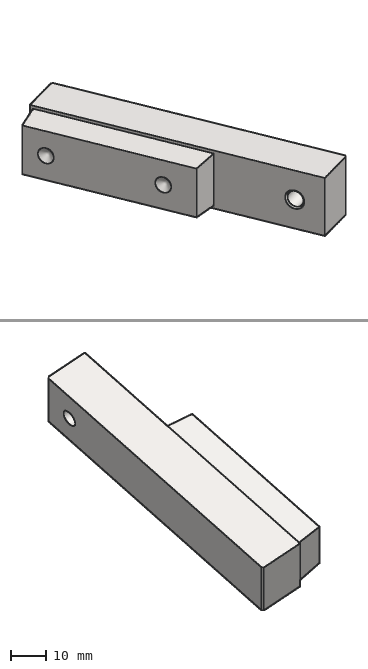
import cadquery as cq

bar_length = 93.0
bar_depth = 14.0
bar_height = 19.0
end_chamfer = 0.5

overall_depth = 23.0
block_depth = overall_depth - bar_depth
block_margin = 1.0
block_root_length = 57.0
block_root_height = bar_height - 2 * block_margin
end_draft = 1.0
side_draft = 0.5

hole_diameter = 5.0
hole_spacing = 37.0
hole_mouth_chamfer = 0.5
dimple_depth = 2.0

mid_x = bar_length / 2
mid_z = bar_height / 2
block_mid_x = block_margin + block_root_length / 2


def make_bar():
    bar = cq.Workplane("XY").box(bar_length, bar_depth, bar_height, centered=False)
    return bar.faces(">Y").edges("|Z").chamfer(end_chamfer)


def make_block():
    return (
        cq.Workplane("XZ")
        .center(block_mid_x, mid_z)
        .rect(block_root_length, block_root_height)
        .workplane(offset=block_depth)
        .rect(block_root_length - 2 * end_draft, block_root_height - 2 * side_draft)
        .loft(ruled=True)
    )


def front_cone(x, front_y, mouth_radius, depth):
    """Cone with its mouth on a front face and its tip pointing to +Y."""
    mouth_center = cq.Vector(x, front_y, mid_z)
    inward = cq.Vector(0, 1, 0)
    cone = cq.Solid.makeCone(mouth_radius, 0, depth, mouth_center, inward)
    return cq.Workplane(obj=cone)


def make_dimple(x):
    """Conical recess in the front face of the block."""
    return front_cone(x, -block_depth, hole_diameter / 2, dimple_depth)


def make_through_hole(x):
    """Hole through the bar with a 45 degree chamfer at its front mouth."""
    bore_radius = hole_diameter / 2
    bore = cq.Workplane("XZ").center(x, mid_z).circle(bore_radius).extrude(-bar_depth)
    mouth_radius = bore_radius + hole_mouth_chamfer
    return bore.union(front_cone(x, 0, mouth_radius, mouth_radius))


result = make_bar().union(make_block())
for dimple_x in (mid_x - hole_spacing, mid_x):
    result = result.cut(make_dimple(dimple_x))
result = result.cut(make_through_hole(mid_x + hole_spacing))